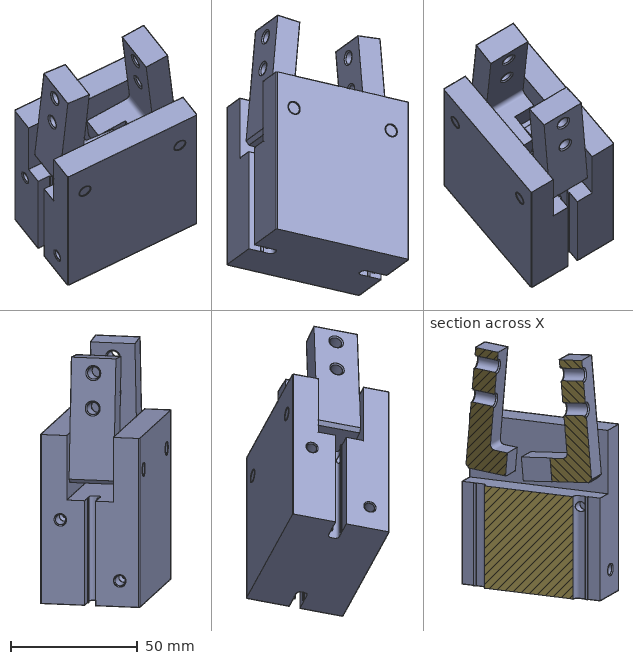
import cadquery as cq
import math


width = 40.0
depth = 60.0
height = 68.0
edge_chamfer = 0.4
channel_width = 18.8
channel_floor = 42.1

groove_width = 4.4
groove_mouth_depth = 5.3
lip_opening = 3.3
lip_thickness = 1.0
groove_depth = 10.7
groove_floor_width = 1.1
groove_corner_radius = (groove_width - groove_floor_width) / 2

side_hole_diameter = 4.1
side_hole_y = -21.6
side_hole_z = 37.6
side_hole_end_x = 5.9

port_diameter = 4.1
port_mouth_diameter = 5.0
port_depth = 7.9
channel_diameter = 1.5
channel_length = 2.9
drill_point_angle = 118.0
port_offset_x = 12.0
upper_port_z = 34.0
lower_port_z = 10.4

pivot_y = 22.0
pivot_z = 54.0
pin_diameter = 5.0
pin_hole_chamfer = 0.25

jaw_tilt = 5.0
jaw_width = 18.0
arm_thickness = 10.0
arm_top = 43.9
jaw_bottom = -6.0
heel_chamfer = 1.5
lever_top = 3.7
lever_fillet = 2.0
shoulder_reach = 12.6
tail_reach = 25.1
tail_clearance = 0.15
tap_hole_diameter = 4.9
tap_mouth_diameter = 6.0
top_hole_inset = 6.0
hole_pitch = 14.1
hole_count = 2


def revolve_about_y(profile):
    """Turn a (radius, Y) outline about the Y axis."""
    return cq.Workplane("XY").polyline(profile).close().revolve(360, (0, 0, 0), (0, 1, 0))


def sensor_groove():
    """Cutter for the groove of the -Y face: wide mouth, narrow lips, round-cornered cavity."""
    face_y = -depth / 2
    lip_y = face_y + groove_mouth_depth
    cavity_y = lip_y + lip_thickness
    cavity_depth = groove_depth - groove_mouth_depth - lip_thickness

    def slab(slab_width, start_y, slab_depth):
        return cq.Workplane("XY").box(
            slab_width, slab_depth, channel_floor, centered=(True, False, False)
        ).translate((0, start_y, 0))

    mouth = slab(groove_width, face_y, groove_mouth_depth)
    lips = slab(lip_opening, lip_y, lip_thickness)
    cavity = slab(groove_width, cavity_y, cavity_depth)
    cavity = cavity.faces(">Y").edges("|Z").fillet(groove_corner_radius)
    return mouth.union(lips).union(cavity)


def air_port(x, z):
    """Cutter for one port: chamfered mouth, drill point and a thin blind channel behind it."""
    port_radius = port_diameter / 2
    mouth_radius = port_mouth_diameter / 2
    thin_radius = channel_diameter / 2
    point_slope = math.tan(math.radians(drill_point_angle / 2))
    thin_start = port_depth + (port_radius - thin_radius) / point_slope
    thin_end = thin_start + channel_length
    cutter = revolve_about_y([
        (0, 0),
        (mouth_radius, 0),
        (port_radius, mouth_radius - port_radius),
        (port_radius, port_depth),
        (thin_radius, thin_start),
        (thin_radius, thin_end),
        (0, thin_end + thin_radius / point_slope),
    ])
    return cutter.translate((x, -depth / 2, z))


def pin_hole(y):
    """Cutter for a pivot hole through the housing along X, chamfered at both ends."""
    radius = pin_diameter / 2
    mouth_radius = radius + pin_hole_chamfer
    half = width / 2
    profile = [
        (-half, 0),
        (-half, mouth_radius),
        (-half + pin_hole_chamfer, radius),
        (half - pin_hole_chamfer, radius),
        (half, mouth_radius),
        (half, 0),
    ]
    cutter = cq.Workplane("XY").polyline(profile).close().revolve(360, (0, 0, 0), (1, 0, 0))
    return cutter.translate((0, y, pivot_z))


def make_housing():
    block = cq.Workplane("XY").box(width, depth, height, centered=(True, True, False))
    block = block.edges("|Z").chamfer(edge_chamfer)

    channel = cq.Workplane("XY").box(
        channel_width, depth, height - channel_floor, centered=(True, True, False)
    ).translate((0, 0, channel_floor))
    block = block.cut(channel)

    for turn in (0, 180):
        block = block.cut(sensor_groove().rotate((0, 0, 0), (0, 0, 1), turn))

    side_hole = cq.Workplane("YZ").center(side_hole_y, side_hole_z)
    block = block.cut(side_hole.circle(side_hole_diameter / 2).extrude(side_hole_end_x))

    for x, z in ((-port_offset_x, upper_port_z), (port_offset_x, lower_port_z)):
        block = block.cut(air_port(x, z))

    for y in (-pivot_y, pivot_y):
        block = block.cut(pin_hole(y))
    return block


def tapped_hole():
    """Cutter along Y through the arm, chamfered at both faces."""
    half = arm_thickness / 2
    radius = tap_hole_diameter / 2
    mouth_radius = tap_mouth_diameter / 2
    chamfer = mouth_radius - radius
    return revolve_about_y([
        (0, -half),
        (mouth_radius, -half),
        (radius, -half + chamfer),
        (radius, half - chamfer),
        (mouth_radius, half),
        (0, half),
    ])


def make_jaw(turn):
    """Jaw of the -Y side with its pivot pin, turned about Z into place."""
    half = arm_thickness / 2
    tail_height = lever_top - jaw_bottom

    outline = (
        cq.Workplane("YZ")
        .moveTo(-half, arm_top)
        .lineTo(half, arm_top)
        .lineTo(half, lever_top + lever_fillet)
        .radiusArc((half + lever_fillet, lever_top), -lever_fillet)
        .lineTo(shoulder_reach, lever_top)
        .lineTo(shoulder_reach, jaw_bottom)
        .lineTo(-half + heel_chamfer, jaw_bottom)
        .lineTo(-half, jaw_bottom + heel_chamfer)
        .close()
    )
    jaw = outline.extrude(jaw_width / 2, both=True)

    tail = cq.Workplane("XY").box(
        jaw_width / 2 - tail_clearance, tail_reach, tail_height, centered=False
    ).translate((tail_clearance, 0, jaw_bottom))
    jaw = jaw.union(tail)

    for step in range(hole_count):
        hole_z = arm_top - top_hole_inset - step * hole_pitch
        jaw = jaw.cut(tapped_hole().translate((0, 0, hole_z)))

    pin = cq.Workplane("YZ").circle(pin_diameter / 2).extrude(width / 2, both=True)
    jaw = jaw.union(pin)

    jaw = jaw.rotate((0, 0, 0), (1, 0, 0), -jaw_tilt)
    jaw = jaw.translate((0, -pivot_y, pivot_z))
    return jaw.rotate((0, 0, 0), (0, 0, 1), turn)


housing = make_housing()
jaws = [make_jaw(turn) for turn in (0, 180)]

result = cq.Compound.makeCompound([housing.val(), *[jaw.val() for jaw in jaws]])